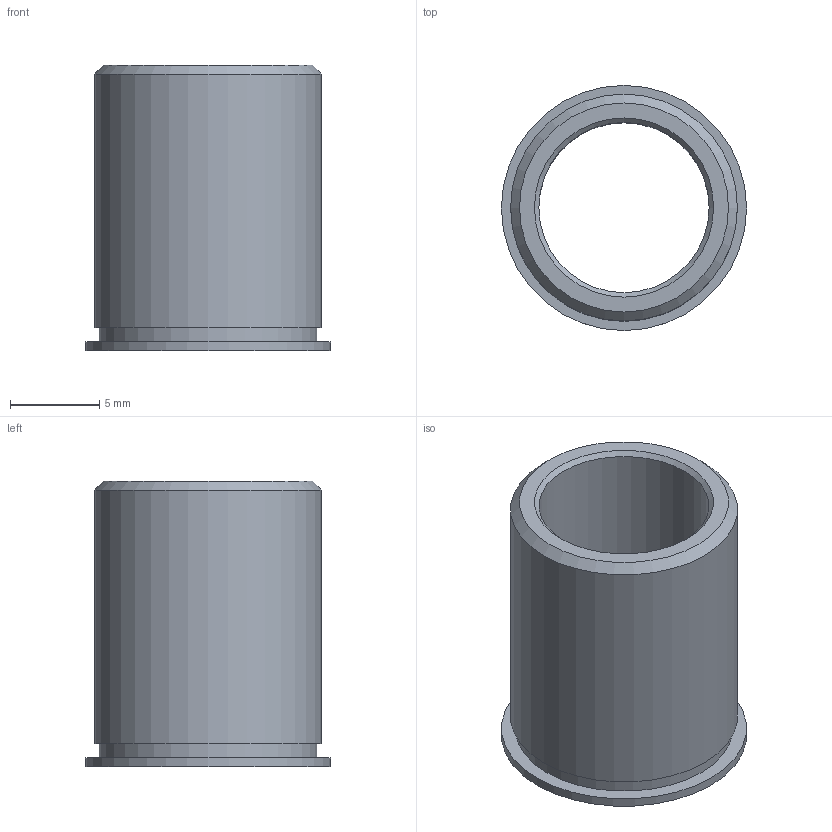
import cadquery as cq

total_height = 16.0
flange_diameter = 13.72
flange_thickness = 0.5

groove_diameter = 12.2
groove_height = 0.8
groove_top = flange_thickness + groove_height

body_diameter = 12.7
body_chamfer = 0.5
bore_diameter = 9.53
bore_chamfer = 0.25


def disc(diameter, bottom, top):
    """Upright cylinder about Z between two heights."""
    return cq.Workplane("XY").workplane(offset=bottom).circle(diameter / 2).extrude(top - bottom)


def make_body():
    """Cylinder above the groove, chamfered around its top rim."""
    body = disc(body_diameter, groove_top, total_height)
    return body.faces(">Z").edges().chamfer(body_chamfer)


def make_sleeve():
    """Solid outer shape: flange, groove neck and body stacked along Z."""
    flange = disc(flange_diameter, 0, flange_thickness)
    neck = disc(groove_diameter, flange_thickness, groove_top)
    return flange.union(neck).union(make_body())


def cut_bore(sleeve):
    """Through bore with a small lead-in chamfer at the top."""
    bored = sleeve.cut(disc(bore_diameter, 0, total_height))
    mouth = bored.faces(">Z").edges(cq.selectors.RadiusNthSelector(0))
    return mouth.chamfer(bore_chamfer)


result = cut_bore(make_sleeve())